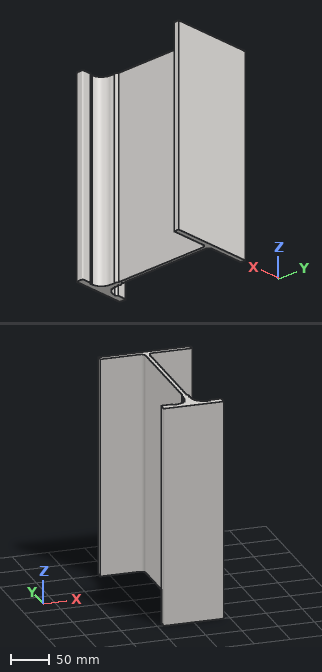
import cadquery as cq
import math

length = 304.8
depth = 204.8

wide_flange_width = 127.0
wide_flange_thickness = 8.2
wide_flange_fillet = 5.8

web_thickness = 5.8

narrow_flange_width = 83.0
narrow_flange_thickness = 11.5
outer_edge_radius = 1.2
inner_edge_radius = 1.8

root_radius = 16.5
root_center_x = 21.3
root_center_y = 26.2
root_start_angle = 176.0
root_end_angle = 270.0

groove_bottom_x = 24.0
groove_bottom_y = 9.0
groove_outer_x = 26.5

bead_bottom_x = 4.0
bead_bottom_y = 33.0
bead_crest_x = 5.0
bead_crest_y = 35.7
bead_shoulder_x = 4.3
bead_shoulder_y = 37.5
bead_top_y = 40.0


def root_point(angle_degrees):
    """Point on the root arc at the given angle."""
    angle = math.radians(angle_degrees)
    return (
        root_center_x + root_radius * math.cos(angle),
        root_center_y + root_radius * math.sin(angle),
    )


def half_beam():
    """The +X half of the beam, with its flat side on the plane of symmetry."""
    web_x = web_thickness / 2
    narrow_x = narrow_flange_width / 2
    wide_x = wide_flange_width / 2
    wide_flange_y = depth - wide_flange_thickness
    root_middle_angle = (root_start_angle + root_end_angle) / 2
    arc_inset = 1 - math.sqrt(0.5)
    fillet_inset = wide_flange_fillet * arc_inset
    outer_inset = outer_edge_radius * arc_inset
    inner_inset = inner_edge_radius * arc_inset

    section = (
        cq.Workplane("XY")
        .moveTo(0, 0)
        .lineTo(narrow_x - outer_edge_radius, 0)
        .threePointArc((narrow_x - outer_inset, outer_inset), (narrow_x, outer_edge_radius))
        .lineTo(narrow_x, narrow_flange_thickness - inner_edge_radius)
        .threePointArc(
            (narrow_x - inner_inset, narrow_flange_thickness - inner_inset),
            (narrow_x - inner_edge_radius, narrow_flange_thickness),
        )
        .lineTo(groove_outer_x, narrow_flange_thickness)
        .threePointArc((groove_bottom_x, groove_bottom_y), root_point(root_end_angle))
        .threePointArc(root_point(root_middle_angle), root_point(root_start_angle))
        .lineTo(bead_bottom_x, bead_bottom_y)
        .threePointArc((bead_crest_x, bead_crest_y), (bead_shoulder_x, bead_shoulder_y))
        .lineTo(web_x, bead_top_y)
        .lineTo(web_x, wide_flange_y - wide_flange_fillet)
        .threePointArc(
            (web_x + fillet_inset, wide_flange_y - fillet_inset),
            (web_x + wide_flange_fillet, wide_flange_y),
        )
        .lineTo(wide_x, wide_flange_y)
        .lineTo(wide_x, depth)
        .lineTo(0, depth)
        .close()
    )
    return section.extrude(length)


right_half = half_beam()
left_half = right_half.mirror("YZ")
result = right_half.union(left_half)